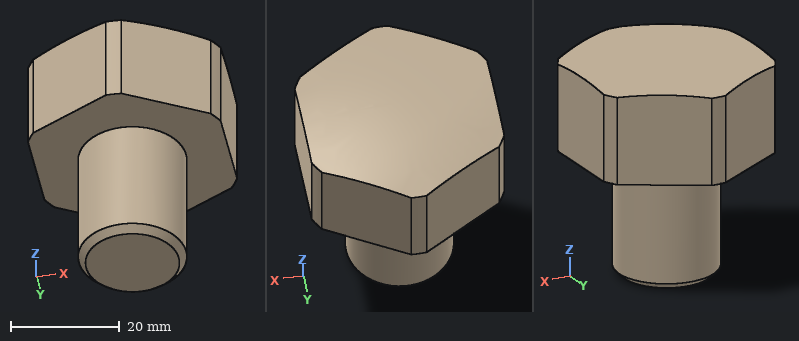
import cadquery as cq
import math

total_height = 44.0
head_height = 20.0
shank_length = total_height - head_height
shank_diameter = 20.0
shank_chamfer = 1.35

across_flats = 36.0
corner_diameter = 40.0
dome_radius = 72.0
hexagon_sides = 6


def make_head():
    """Hexagonal prism with cylindrical corners and a spherical top."""
    sharp_corner_diameter = across_flats / math.cos(math.pi / hexagon_sides)
    prism = (
        cq.Workplane("XY")
        .workplane(offset=shank_length)
        .polygon(hexagon_sides, sharp_corner_diameter)
        .extrude(head_height)
        .rotate((0, 0, 0), (0, 0, 1), 180 / hexagon_sides)
    )

    corner_radius = corner_diameter / 2
    dome_center = total_height - dome_radius
    dome_edge = dome_center + math.sqrt(dome_radius**2 - corner_radius**2)
    arc_middle_radius = corner_radius / 2
    arc_middle = dome_center + math.sqrt(dome_radius**2 - arc_middle_radius**2)
    envelope = (
        cq.Workplane("XZ")
        .moveTo(0, shank_length)
        .lineTo(corner_radius, shank_length)
        .lineTo(corner_radius, dome_edge)
        .threePointArc((arc_middle_radius, arc_middle), (0, total_height))
        .close()
        .revolve(360, (0, 0, 0), (0, 1, 0))
    )
    return prism.intersect(envelope)


def make_shank():
    """Plain round shank with a chamfered free end."""
    return (
        cq.Workplane("XY")
        .circle(shank_diameter / 2)
        .extrude(shank_length)
        .faces("<Z")
        .chamfer(shank_chamfer)
    )


result = make_head().union(make_shank())